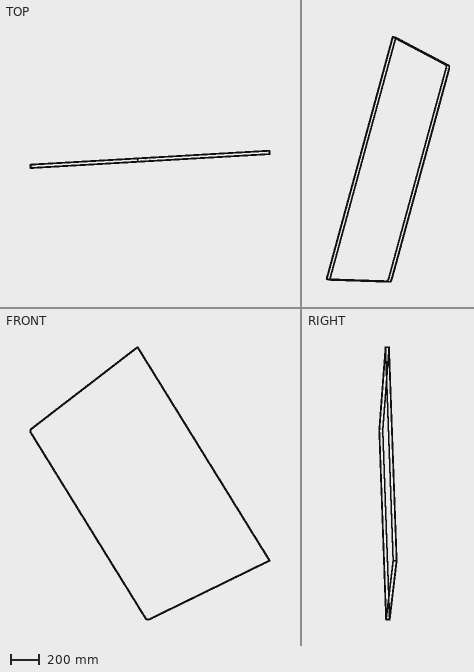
import cadquery as cq

long_edge = 1742.88
panel_height = 943.67
end_taper = 0.101
thickness = 25.0
corner_radius = 22.0

lean_angle = 31.77
swing_angle = 3.3393

half_long = long_edge / 2
half_short = half_long - end_taper * panel_height
half_height = panel_height / 2


def make_panel():
    """Upright panel in the XZ plane: short edge at -X, long edge at +X."""
    outline = [
        (half_height, half_long),
        (-half_height, half_short),
        (-half_height, -half_short),
        (half_height, -half_long),
    ]
    panel = cq.Workplane("XZ").polyline(outline).close().extrude(thickness / 2, both=True)
    return panel.edges("<X and |Y").fillet(corner_radius)


def place_panel(panel):
    """Lean the panel in its own plane, then swing it about the vertical axis."""
    origin = (0, 0, 0)
    leaning = panel.rotate(origin, (0, 1, 0), -lean_angle)
    return leaning.rotate(origin, (0, 0, 1), swing_angle)


result = place_panel(make_panel())